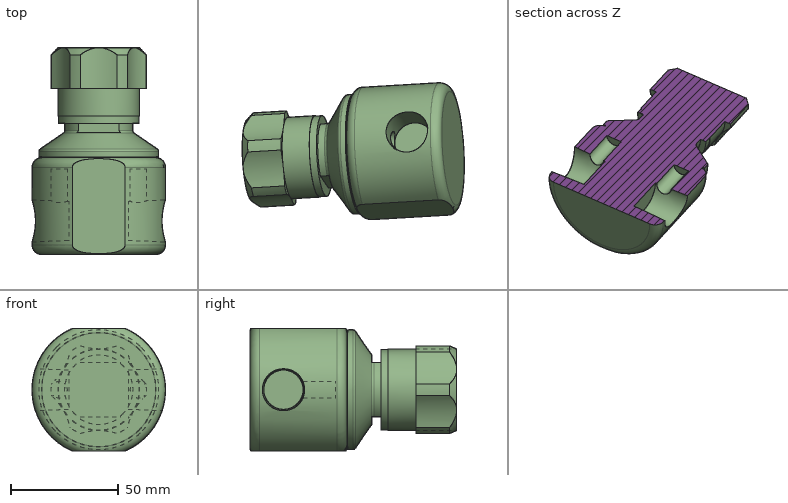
import cadquery as cq
import math

total_length = 96.39

body_radius = 31.115
body_length = 45.21
body_edge_radius = 4.57
body_half_flats = 28.575

groove_radius = 26.7
groove_width = 0.38
flange_radius = 27.94
flange_edge_radius = 1.5875
cone_angle = 55.6
cone_corner_y = 48.8

neck_radius = 15.875
neck_half_flats = 12.7
neck_end_y = 61.09
neck_flat_start_y = 56.92
neck_root_radius = 1.5875

collar_radius = 19.05
collar_lip_radius = 18.85
collar_lip_length = 3.4
collar_end_y = 77.34

nut_radius = 22.15
nut_scallops = 6
scallop_half_chord = 8.6
scallop_depth_radius = 19.05
nut_chamfer_radius = 19.05
nut_chamfer_length = 3.3

port_y = 15.7
port_mouth_radius = 9.85
port_floor_radius = 9.15
port_depth = 17.2

passage_radius = 3.85
passage_offset = 18.5
passage_end_y = 40.0


def cylinder(radius, start_y, end_y):
    """Round bar on the Y axis."""
    return cq.Workplane("XZ", origin=(0, start_y, 0)).circle(radius).extrude(start_y - end_y)


def revolve_about_axis(profile):
    """Close an outline that starts and ends on the Y axis and turn it about that axis."""
    return profile.close().revolve(360, (0, 0, 0), (0, 1, 0))


def round_corner(solid, corner_y, radius):
    """Fillet the circular edge that lies at corner_y."""
    tolerance = 0.01
    reach = 2 * body_radius
    ring = cq.selectors.BoxSelector(
        (-reach, corner_y - tolerance, -reach),
        (reach, corner_y + tolerance, reach),
        boundingbox=True,
    )
    return solid.edges(ring).fillet(radius)


def make_body():
    """Rounded cylinder with a flat on its top and bottom."""
    body = cylinder(body_radius, 0, body_length).edges().fillet(body_edge_radius)
    between_flats = cq.Workplane("XY").box(
        2 * body_radius, body_length, 2 * body_half_flats, centered=(True, False, True)
    )
    return body.intersect(between_flats)


def make_flange_and_neck():
    """Relief groove, flange, cone and neck, turned as one piece, with the wrench flats cut in."""
    flange_start_y = body_length + groove_width
    cone_length = (flange_radius - neck_radius) / math.tan(math.radians(cone_angle))
    cone_end_y = cone_corner_y + cone_length
    outline = (
        cq.Workplane("XY")
        .moveTo(0, body_length)
        .lineTo(groove_radius, body_length)
        .lineTo(groove_radius, flange_start_y)
        .lineTo(flange_radius, flange_start_y)
        .lineTo(flange_radius, cone_corner_y)
        .lineTo(neck_radius, cone_end_y)
        .lineTo(neck_radius, neck_end_y)
        .lineTo(0, neck_end_y)
    )
    turned = revolve_about_axis(outline)
    turned = round_corner(turned, cone_corner_y, flange_edge_radius)
    turned = round_corner(turned, cone_end_y, neck_root_radius)

    flat_length = neck_end_y - neck_flat_start_y
    flat_cutter = (
        cq.Workplane("XY", origin=(0, neck_flat_start_y, neck_half_flats))
        .box(2 * flange_radius, flat_length, flange_radius, centered=(True, False, False))
    )
    return turned.cut(flat_cutter).cut(flat_cutter.mirror("XY"))


def make_collar():
    """Cylinder with a slightly narrower lip next to the neck."""
    lip_end_y = neck_end_y + collar_lip_length
    lip = cylinder(collar_lip_radius, neck_end_y, lip_end_y)
    return lip.union(cylinder(collar_radius, lip_end_y, collar_end_y))


def make_nut():
    """Chamfered disc with concave scallops spaced evenly around it."""
    outline = (
        cq.Workplane("XY")
        .moveTo(0, collar_end_y)
        .lineTo(nut_radius, collar_end_y)
        .lineTo(nut_radius, total_length - nut_chamfer_length)
        .lineTo(nut_chamfer_radius, total_length)
        .lineTo(0, total_length)
    )
    nut = revolve_about_axis(outline)

    chord_distance = math.sqrt(nut_radius**2 - scallop_half_chord**2)
    sagitta = chord_distance - scallop_depth_radius
    scallop_radius = (scallop_half_chord**2 + sagitta**2) / (2 * sagitta)
    scallop = cylinder(scallop_radius, collar_end_y, total_length).translate(
        (0, 0, scallop_depth_radius + scallop_radius)
    )
    for index in range(nut_scallops):
        nut = nut.cut(scallop.rotate((0, 0, 0), (0, 1, 0), index * 360 / nut_scallops))
    return nut


def make_port(side):
    """Tapered cutter entering the body along X; side is -1 or 1."""
    cone = cq.Solid.makeCone(
        port_mouth_radius,
        port_floor_radius,
        port_depth,
        cq.Vector(side * body_radius, port_y, 0),
        cq.Vector(-side, 0, 0),
    )
    return cq.Workplane(obj=cone)


def make_passage(side):
    """Drilled cutter that opens into the port on the same side."""
    start_y = port_y + math.sqrt(port_floor_radius**2 - passage_radius**2)
    return cylinder(passage_radius, start_y, passage_end_y).translate((side * passage_offset, 0, 0))


result = make_body().union(make_flange_and_neck()).union(make_collar()).union(make_nut())
for port_side in (-1, 1):
    result = result.cut(make_port(port_side)).cut(make_passage(port_side))